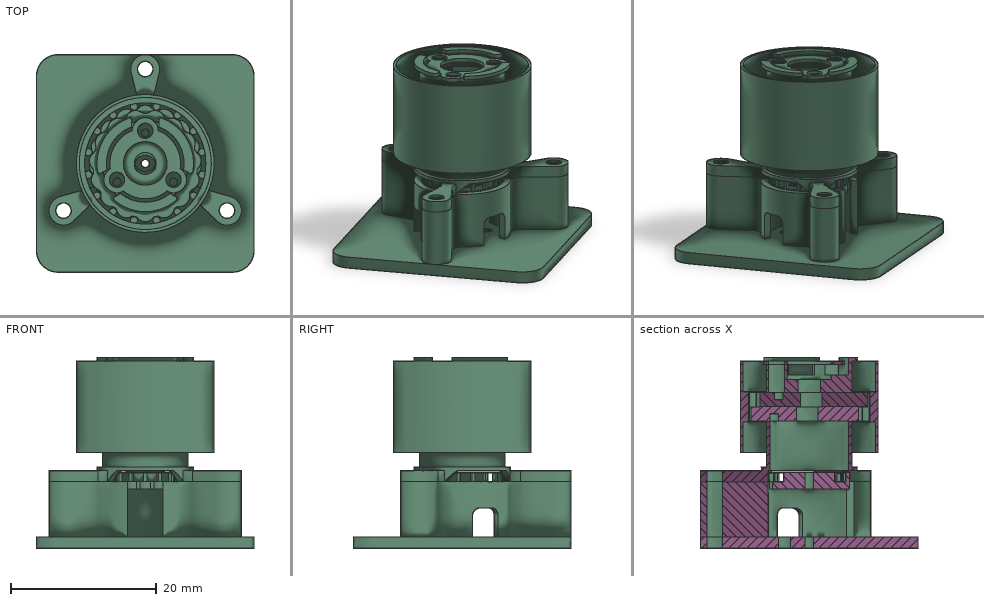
import cadquery as cq
import math

ARM_ANGLES = (90, 210, 330)
WINDOW_ANGLES = (30, 150, 270)
SLOT_ANGLE = 270
ARCH_ANGLES = (30, 150)

CUT_OVERRUN = 1.0

BASE_SIZE = 30.0
BASE_THICKNESS = 1.6
BASE_CORNER_RADIUS = 3.0
SHAFT_HOLE_DIAMETER = 1.1
MOTOR_SCREW_DIAMETER = 1.6
MOTOR_SCREW_PITCH_RADIUS = 3.4

POST_PITCH_RADIUS = 13.0
POST_RADIUS = 2.0
POST_HOLE_DIAMETER = 2.1
TAPER_APEX_RADIUS = 4.75

STANDOFF_TOP = 9.2
WALL_OUTER_RADIUS = 6.65
WALL_INNER_RADIUS = 5.65
WEB_FILLET = 1.5
SLOT_WIDTH = 4.85
ARCH_WIDTH = 4.0
ARCH_HEIGHT = 3.95
ARCH_FILLET = 1.0

ARM_TOP = 10.7
HUB_TOP = 11.2
ARM_WAIST_RADIUS = 8.0
ARM_WAIST_HALF_WIDTH = 0.8
ARM_ROOT_HALF_WIDTH = 1.0
ARM_ROOT_RADIUS = 6.4
TUBE_OUTER_RADIUS = 5.9
TUBE_INNER_RADIUS = 5.35
FLANGE_RADIUS = WALL_OUTER_RADIUS
WINDOW_SILL_HALF_ANGLE = 51.4
WINDOW_LINTEL_HALF_ANGLE = 36.0

CAGE_BOTTOM = 8.16
CAGE_TOP = 10.5
CAGE_CAP_THICKNESS = 0.12
CAGE_RIBS = 17
CAGE_RIB_WIDTH = 0.42
CAGE_RIB_DEPTH = 0.6
CAGE_RIB_RADIUS = 5.6
CAGE_LOBE_RADIUS = 0.72
CAGE_LOBE_PITCH_RADIUS = 4.85
CAGE_RING_RADIUS = 5.1
CAGE_CORE_RADIUS = 3.5

CAN_BOTTOM = 13.2
CAN_TOP = 25.8
CAN_OUTER_RADIUS = 9.5
CAN_BORE_RADIUS = 9.1
RING_HEIGHT = 4.2
RING_BORE_RADIUS = 8.35
TOOTH_SETBACK = 0.12
RING_TEETH = 16
RING_TOOTH_PITCH_RADIUS = 8.0
RING_TOOTH_RADIUS = 0.5
RING_MIDDLE = (CAN_BOTTOM + CAN_TOP) / 2
GEAR_TOP = RING_MIDDLE + RING_HEIGHT / 2 - TOOTH_SETBACK
GEAR_BOTTOM = RING_MIDDLE - RING_HEIGHT / 2 + TOOTH_SETBACK

ECCENTRICITY = 0.3
UPPER_THROW_ANGLE = 270
LOWER_THROW_ANGLE = UPPER_THROW_ANGLE - 180
DISC_LOBES = RING_TEETH - 1
DISC_CLEARANCE = 0.05
DISC_BORE_DIAMETER = 2.9
DISC_PIN_HOLE_DIAMETER = 1.1
DISC_PIN_HOLE_DEPTH = 1.0
PROFILE_POINTS_PER_LOBE = 12
PIN_PITCH_RADIUS = 4.5

FLANGE_THICKNESS = 0.5
CUP_TOP = CAN_TOP + FLANGE_THICKNESS
CAP_TOP = CUP_TOP - FLANGE_THICKNESS
CAP_THICKNESS = 0.5
CAP_BOTTOM = CAP_TOP - CAP_THICKNESS
CAP_RADIUS = 4.87
LOBE_DIAMETER = 3.6
LOBE_CLEARANCE = 0.06
PIN_HOLE_DIAMETER = 2.1
CENTRE_BORE_DIAMETER = 6.0
FLOOR_TOP = 23.9
FLOOR_RECESS = 0.6
FLOOR_HOLE_DIAMETER = 3.0
FLANGE_CORNER_FILLET = 0.35


def polar_points(radius, angles):
    return [(radius * math.cos(math.radians(a)), radius * math.sin(math.radians(a))) for a in angles]


def cylinder(radius, bottom, top):
    return cq.Workplane("XY").workplane(offset=bottom).circle(radius).extrude(top - bottom)


def cylinders_at(radius, points, bottom, top):
    return cq.Workplane("XY").workplane(offset=bottom).pushPoints(points).circle(radius).extrude(top - bottom)


def turned(body, angle):
    return body.rotate((0, 0, 0), (0, 0, 1), angle)


taper = math.asin(POST_RADIUS / (POST_PITCH_RADIUS - TAPER_APEX_RADIUS))
tangent_x = POST_PITCH_RADIUS - POST_RADIUS * math.sin(taper)
tangent_y = POST_RADIUS * math.cos(taper)
post_tip = (POST_PITCH_RADIUS + POST_RADIUS, 0)
post_points = polar_points(POST_PITCH_RADIUS, ARM_ANGLES)


def make_base():
    plate = cq.Workplane("XY").box(BASE_SIZE, BASE_SIZE, BASE_THICKNESS, centered=(True, True, False))
    plate = plate.edges("|Z").fillet(BASE_CORNER_RADIUS)
    plate = plate.cut(cylinders_at(POST_HOLE_DIAMETER / 2, post_points, 0, BASE_THICKNESS))
    screw_points = polar_points(MOTOR_SCREW_PITCH_RADIUS, ARM_ANGLES)
    plate = plate.cut(cylinders_at(MOTOR_SCREW_DIAMETER / 2, screw_points, 0, BASE_THICKNESS))
    return plate.cut(cylinder(SHAFT_HOLE_DIAMETER / 2, 0, BASE_THICKNESS))


def make_web(bottom, top):
    """Post and tapering web along +X, with fillets where the web runs into the wall."""
    reach = WALL_OUTER_RADIUS + WEB_FILLET
    offset = WEB_FILLET - TAPER_APEX_RADIUS * math.sin(taper)
    centre_angle = taper + math.asin(offset / reach)
    centre_x = reach * math.cos(centre_angle)
    centre_y = reach * math.sin(centre_angle)
    side_x = centre_x + WEB_FILLET * math.sin(taper)
    side_y = centre_y - WEB_FILLET * math.cos(taper)
    wall_x = WALL_OUTER_RADIUS * math.cos(centre_angle)
    wall_y = WALL_OUTER_RADIUS * math.sin(centre_angle)
    middle_angle = (taper - math.pi / 2 + centre_angle + math.pi) / 2 - math.pi
    middle_x = centre_x + WEB_FILLET * math.cos(middle_angle)
    middle_y = centre_y + WEB_FILLET * math.sin(middle_angle)
    return (
        cq.Workplane("XY").workplane(offset=bottom)
        .moveTo(tangent_x, tangent_y)
        .threePointArc(post_tip, (tangent_x, -tangent_y))
        .lineTo(side_x, -side_y)
        .threePointArc((middle_x, -middle_y), (wall_x, -wall_y))
        .lineTo(TAPER_APEX_RADIUS, 0)
        .lineTo(wall_x, wall_y)
        .threePointArc((middle_x, middle_y), (side_x, side_y))
        .close()
        .extrude(top - bottom)
    )


def make_standoff():
    height = STANDOFF_TOP - BASE_THICKNESS
    body = cylinder(WALL_OUTER_RADIUS, BASE_THICKNESS, STANDOFF_TOP)
    web = make_web(BASE_THICKNESS, STANDOFF_TOP)
    for angle in ARM_ANGLES:
        body = body.union(turned(web, angle))
    body = body.cut(cylinder(WALL_INNER_RADIUS, BASE_THICKNESS, STANDOFF_TOP))
    body = body.cut(cylinders_at(POST_HOLE_DIAMETER / 2, post_points, BASE_THICKNESS, STANDOFF_TOP))
    base_plane = cq.Workplane("XY").workplane(offset=BASE_THICKNESS)
    reach = WALL_OUTER_RADIUS + CUT_OVERRUN
    slot = base_plane.box(reach, SLOT_WIDTH, height, centered=(False, True, False))
    arch = base_plane.box(reach, ARCH_WIDTH, ARCH_HEIGHT, centered=(False, True, False))
    arch = arch.edges("|X and >Z").fillet(ARCH_FILLET)
    body = body.cut(turned(slot, SLOT_ANGLE))
    for angle in ARCH_ANGLES:
        body = body.cut(turned(arch, angle))
    return body


def make_arm():
    return (
        cq.Workplane("XY").workplane(offset=STANDOFF_TOP)
        .moveTo(tangent_x, tangent_y)
        .threePointArc(post_tip, (tangent_x, -tangent_y))
        .lineTo(ARM_WAIST_RADIUS, -ARM_WAIST_HALF_WIDTH)
        .lineTo(ARM_ROOT_RADIUS, -ARM_ROOT_HALF_WIDTH)
        .lineTo(ARM_ROOT_RADIUS, ARM_ROOT_HALF_WIDTH)
        .lineTo(ARM_WAIST_RADIUS, ARM_WAIST_HALF_WIDTH)
        .close()
        .extrude(ARM_TOP - STANDOFF_TOP)
    )


def make_hub_window():
    """Trapezoid opening along +X whose sides all point at the axis of the hub."""
    sill_slope = math.tan(math.radians(WINDOW_SILL_HALF_ANGLE))
    lintel_slope = math.tan(math.radians(WINDOW_LINTEL_HALF_ANGLE))

    def outline(workplane, distance):
        return workplane.polyline([
            (-distance * sill_slope, STANDOFF_TOP),
            (distance * sill_slope, STANDOFF_TOP),
            (distance * lintel_slope, ARM_TOP),
            (-distance * lintel_slope, ARM_TOP),
        ]).close()

    inner = WALL_INNER_RADIUS / 2
    outer = FLANGE_RADIUS + CUT_OVERRUN
    start = outline(cq.Workplane("YZ").workplane(offset=inner), inner)
    return outline(start.workplane(offset=outer - inner), outer).loft(ruled=True)


def make_mount():
    body = cylinder(FLANGE_RADIUS, STANDOFF_TOP, HUB_TOP)
    body = body.union(cylinder(TUBE_OUTER_RADIUS, HUB_TOP, GEAR_BOTTOM))
    arm = make_arm()
    for angle in ARM_ANGLES:
        body = body.union(turned(arm, angle))
    body = body.cut(cylinder(TUBE_INNER_RADIUS, STANDOFF_TOP, GEAR_BOTTOM))
    body = body.cut(cylinder(WALL_INNER_RADIUS, STANDOFF_TOP, ARM_TOP))
    body = body.cut(cylinders_at(POST_HOLE_DIAMETER / 2, post_points, STANDOFF_TOP, ARM_TOP))
    window = make_hub_window()
    for angle in WINDOW_ANGLES:
        body = body.cut(turned(window, angle))
    return body


def make_cage():
    angles = [SLOT_ANGLE + 360 * i / CAGE_RIBS for i in range(CAGE_RIBS)]
    cap_bottom = CAGE_TOP - CAGE_CAP_THICKNESS
    body = cylinder(CAGE_RING_RADIUS, CAGE_BOTTOM, STANDOFF_TOP)
    lobe_points = polar_points(CAGE_LOBE_PITCH_RADIUS, angles)
    body = body.union(cylinders_at(CAGE_LOBE_RADIUS, lobe_points, CAGE_BOTTOM, STANDOFF_TOP))
    body = body.union(cylinder(CAGE_CORE_RADIUS, STANDOFF_TOP, cap_bottom))
    rib = cq.Workplane("XY").workplane(offset=STANDOFF_TOP).center(CAGE_RIB_RADIUS - CAGE_RIB_DEPTH / 2, 0)
    rib = rib.rect(CAGE_RIB_DEPTH, CAGE_RIB_WIDTH).extrude(cap_bottom - STANDOFF_TOP)
    for angle in angles:
        body = body.union(turned(rib, angle))
    body = body.union(cylinder(WALL_INNER_RADIUS, cap_bottom, CAGE_TOP))
    return body.cut(cylinder(SHAFT_HOLE_DIAMETER / 2, CAGE_BOTTOM, CAGE_TOP))


def make_can():
    ring_bottom = RING_MIDDLE - RING_HEIGHT / 2
    ring_top = RING_MIDDLE + RING_HEIGHT / 2
    body = cylinder(CAN_OUTER_RADIUS, CAN_BOTTOM, CAN_TOP)
    body = body.cut(cylinder(CAN_BORE_RADIUS, CAN_BOTTOM, ring_bottom))
    body = body.cut(cylinder(CAN_BORE_RADIUS, ring_top, CAN_TOP))
    body = body.cut(cylinder(RING_BORE_RADIUS, ring_bottom, ring_top))
    tooth_angles = [UPPER_THROW_ANGLE + 360 * (i + 0.5) / RING_TEETH for i in range(RING_TEETH)]
    tooth_points = polar_points(RING_TOOTH_PITCH_RADIUS, tooth_angles)
    return body.union(cylinders_at(RING_TOOTH_RADIUS, tooth_points, GEAR_BOTTOM, GEAR_TOP))


def cycloid_point(turn):
    """Point of the disc rim that rolls inside the ring teeth, with a valley at +X for turn = 0."""
    lean = math.atan2(
        -math.sin(DISC_LOBES * turn),
        RING_TOOTH_PITCH_RADIUS / (ECCENTRICITY * RING_TEETH) - math.cos(DISC_LOBES * turn),
    )
    tooth = RING_TOOTH_RADIUS + DISC_CLEARANCE
    x = RING_TOOTH_PITCH_RADIUS * math.cos(turn) - tooth * math.cos(turn + lean)
    y = RING_TOOTH_PITCH_RADIUS * math.sin(turn) - tooth * math.sin(turn + lean)
    return x - ECCENTRICITY * math.cos(RING_TEETH * turn), y - ECCENTRICITY * math.sin(RING_TEETH * turn)


def make_disc(throw_angle, inner_face, outer_face):
    """Cycloid disc thrown off centre along the given angle, with blind pin holes in its outer face."""
    count = DISC_LOBES * PROFILE_POINTS_PER_LOBE
    rim = [cycloid_point(2 * math.pi * i / count) for i in range(count)]
    face = cq.Workplane("XY").workplane(offset=inner_face)
    disc = face.spline(rim, periodic=True).close().extrude(outer_face - inner_face)
    disc = turned(disc, throw_angle + 180)
    disc = disc.cut(cylinder(DISC_BORE_DIAMETER / 2, inner_face, outer_face))
    hole_floor = outer_face - math.copysign(DISC_PIN_HOLE_DEPTH, outer_face - inner_face)
    pin_points = polar_points(PIN_PITCH_RADIUS, ARM_ANGLES)
    disc = disc.cut(cylinders_at(DISC_PIN_HOLE_DIAMETER / 2, pin_points, hole_floor, outer_face))
    return disc.translate((*polar_points(ECCENTRICITY, [throw_angle])[0], 0))


def make_cup():
    pin_points = polar_points(PIN_PITCH_RADIUS, ARM_ANGLES)
    lobe_radius = LOBE_DIAMETER / 2
    flange = cylinder(FLANGE_RADIUS, CAP_TOP, CUP_TOP).cut(cylinder(TUBE_INNER_RADIUS, CAP_TOP, CUP_TOP))
    gap = cq.Workplane("XY").workplane(offset=CAP_TOP).center(FLANGE_RADIUS, 0)
    gap = gap.rect(LOBE_DIAMETER, LOBE_DIAMETER + 2 * LOBE_CLEARANCE).extrude(FLANGE_THICKNESS)
    for angle in ARM_ANGLES:
        flange = flange.cut(turned(gap, angle))
    outer_corners = flange.edges("|Z").filter(
        lambda edge: math.hypot(edge.Center().x, edge.Center().y) > TUBE_OUTER_RADIUS
    )
    flange = outer_corners.fillet(FLANGE_CORNER_FILLET)
    tube = cylinder(TUBE_OUTER_RADIUS, GEAR_TOP, CAP_TOP)
    tube = tube.cut(cylinder(TUBE_INNER_RADIUS, FLOOR_TOP, CAP_TOP))
    pillars = cylinders_at(lobe_radius, pin_points, FLOOR_TOP, CAP_BOTTOM)
    pillars = pillars.intersect(cylinder(TUBE_OUTER_RADIUS, FLOOR_TOP, CAP_BOTTOM))
    body = tube.union(pillars).union(flange)
    body = body.cut(cylinders_at(lobe_radius, pin_points, CAP_BOTTOM, CAP_TOP))
    body = body.cut(cylinder(CENTRE_BORE_DIAMETER / 2, FLOOR_TOP - FLOOR_RECESS, CAP_TOP))
    body = body.cut(cylinder(FLOOR_HOLE_DIAMETER / 2, GEAR_TOP, FLOOR_TOP))
    return body.cut(cylinders_at(PIN_HOLE_DIAMETER / 2, pin_points, GEAR_TOP, CAP_BOTTOM))


def make_cap():
    pin_points = polar_points(PIN_PITCH_RADIUS, ARM_ANGLES)
    cap = cylinder(CAP_RADIUS, CAP_BOTTOM, CAP_TOP)
    cap = cap.union(cylinders_at(LOBE_DIAMETER / 2, pin_points, CAP_BOTTOM, CAP_TOP))
    cap = cap.cut(cylinders_at(PIN_HOLE_DIAMETER / 2, pin_points, CAP_BOTTOM, CAP_TOP))
    return cap.cut(cylinder(CENTRE_BORE_DIAMETER / 2, CAP_BOTTOM, CAP_TOP))


base = make_base()
standoff = make_standoff()
mount = make_mount()
cage = make_cage()
can = make_can()
upper_disc = make_disc(UPPER_THROW_ANGLE, RING_MIDDLE, GEAR_TOP)
lower_disc = make_disc(LOWER_THROW_ANGLE, RING_MIDDLE, GEAR_BOTTOM)
cup = make_cup()
cap = make_cap()

result = cq.Compound.makeCompound([
    base.val(),
    standoff.val(),
    mount.val(),
    cage.val(),
    can.val(),
    upper_disc.val(),
    lower_disc.val(),
    cup.val(),
    cap.val(),
])